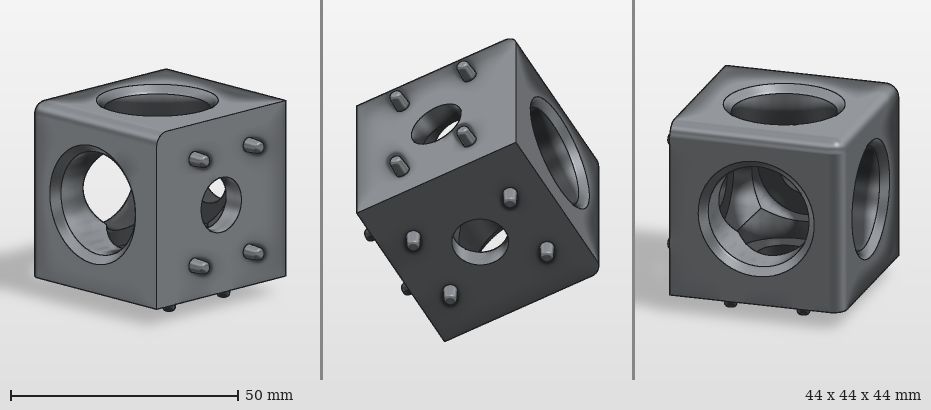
import cadquery as cq
overall = 44.0
peg_length = 4.0
cube = overall - peg_length
half = cube / 2
edge_radius = 3.1

mouth_radius = 13.4
chamfer_radius = 12.0
chamfer_depth = 1.3
step_depth = 1.7
pocket_radius = 11.65
floor_radius = 11.05
floor_height = 15.22
hole_radius = 6.25

cut_tolerance = 0.001
seam_angle = 45

peg_base_radius = 1.65
peg_tip_radius = 1.4
peg_tip_rounding = 0.9
peg_near = 8.4
peg_far = 12.15

opening_normals = [(-1, 0, 0), (0, -1, 0), (0, 0, 1)]

peg_faces = [
    ((1, 0, 0), (0, 0, 1)),
    ((0, 1, 0), (0, 0, -1)),
    ((0, 0, -1), (1, 0, 0)),
]


def face_plane(normal, x_direction=None):
    """Plane on a cube face, with its local Z pointing out of the cube."""
    origin = tuple(half * n for n in normal)
    return cq.Plane(origin=origin, xDir=x_direction, normal=normal)


def rounded_cube():
    """Cube with the three edges shared by the opening faces rounded."""
    body = cq.Workplane("XY").box(cube, cube, cube)
    shared_edges = "(<X and >Z) or (<Y and >Z) or (<X and <Y)"
    return body.edges(shared_edges).fillet(edge_radius)


def pocket(normal):
    """Cutter for a chamfered, stepped cone down to the floor, and the hole through the floor."""
    profile = [
        (0, 0),
        (mouth_radius, 0),
        (chamfer_radius, -chamfer_depth),
        (pocket_radius, -step_depth),
        (floor_radius, -half - floor_height),
        (hole_radius, -half - floor_height),
        (hole_radius, -cube),
        (0, -cube),
    ]
    section = cq.Workplane("XZ").polyline(profile).close()
    cutter = section.revolve(360, (0, 0, 0), (0, 1, 0))
    cutter = cutter.rotate((0, 0, 0), (0, 0, 1), seam_angle)
    return cq.Workplane(cutter.val().moved(cq.Location(face_plane(normal))))


def pegs(normal, wide_direction):
    """Four tapered pegs in a rectangle around the hole in a mating face."""
    section = (
        cq.Workplane("YZ")
        .lineTo(peg_base_radius, 0)
        .lineTo(peg_tip_radius, peg_length - peg_tip_rounding)
        .radiusArc((peg_tip_radius - peg_tip_rounding, peg_length), -peg_tip_rounding)
        .lineTo(0, peg_length)
        .close()
    )
    peg = section.revolve(360, (0, 0, 0), (0, 1, 0)).val()
    return (
        cq.Workplane(face_plane(normal, wide_direction))
        .rect(2 * peg_far, 2 * peg_near, forConstruction=True)
        .vertices()
        .eachpoint(peg, useLocalCoordinates=True)
    )


result = rounded_cube()
for opening_normal in opening_normals:
    result = result.cut(pocket(opening_normal), tol=cut_tolerance)
for peg_normal, peg_wide_direction in peg_faces:
    result = result.union(pegs(peg_normal, peg_wide_direction))